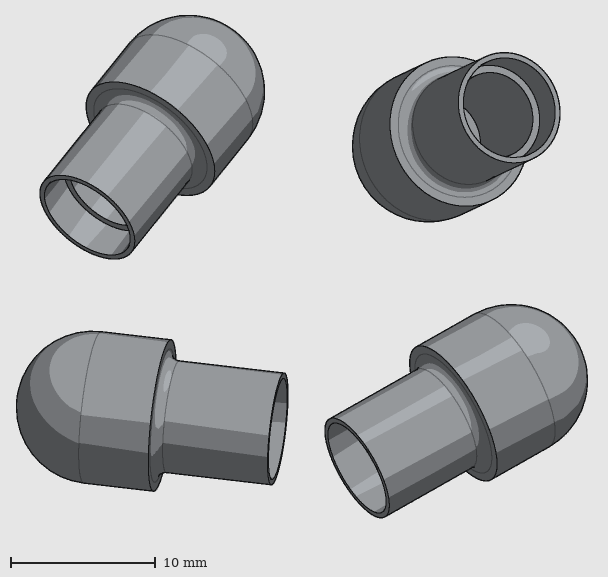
import cadquery as cq
import math

total_length = 18.26
head_diameter = 10.54
head_radius = head_diameter / 2
neck_radius = 3.89
neck_length = 8.1
neck_fillet = 0.75

mouth_radius = 3.5
mouth_depth = 2.5
bore_radius = 3.0
bore_depth = 10.95
drill_point_angle = 118.0

dome_start = total_length - head_radius
dome_mid = head_radius * math.sqrt(0.5)
drill_point_length = bore_radius / math.tan(math.radians(drill_point_angle / 2))


def make_outer_body():
    """Revolve the neck, flared shoulder, cylindrical head and dome."""
    profile = (
        cq.Workplane("XY")
        .lineTo(neck_radius, 0)
        .lineTo(neck_radius, neck_length - neck_fillet)
        .radiusArc((neck_radius + neck_fillet, neck_length), neck_fillet)
        .lineTo(head_radius, neck_length)
        .lineTo(head_radius, dome_start)
        .threePointArc((dome_mid, dome_start + dome_mid), (0, total_length))
        .close()
    )
    return profile.revolve(360, (0, 0, 0), (0, 1, 0))


def make_hole():
    """Revolve the wide mouth, the narrower bore and its conical bottom."""
    profile = (
        cq.Workplane("XY")
        .lineTo(mouth_radius, 0)
        .lineTo(mouth_radius, mouth_depth)
        .lineTo(bore_radius, mouth_depth)
        .lineTo(bore_radius, bore_depth)
        .lineTo(0, bore_depth + drill_point_length)
        .close()
    )
    return profile.revolve(360, (0, 0, 0), (0, 1, 0))


result = make_outer_body().cut(make_hole())